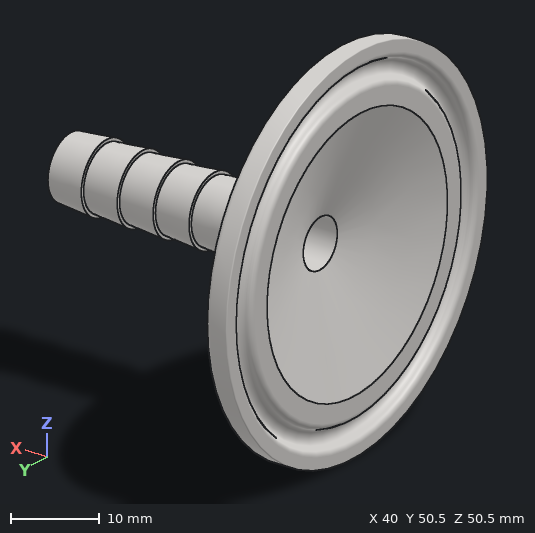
import cadquery as cq
import math

length = 40.0
flange_radius = 25.25
cone_angle = math.radians(20)

rim_straight_end = 2.25
rim_back_round = 0.8
rim_front_round = 0.15

barb_count = 5
barb_pitch = 5.0
neck_radius = 4.75
barb_low_radius = 4.3
neck_fillet = 1.95

groove_radius = 21.7
groove_lip_round = 0.8
groove_floor_round = 1.15
groove_wall_width = 0.075

bore_radius = 3.3
mouth_radius = 17.4
mouth_depth = 5.15


def arc_point(center, radius, angle):
    """Point on a circle in (X, radius) coordinates, with the angle measured from +radius toward +X."""
    return (center[0] + radius * math.sin(angle), center[1] + radius * math.cos(angle))


def revolve_about_x(profile):
    return profile.close().revolve(360, (0, 0, 0), (1, 0, 0))


def make_body():
    """Solid flange, conical back and barbed tail."""
    turn = math.pi / 2 - cone_angle
    rim_center = (rim_straight_end, flange_radius - rim_back_round)
    rim_middle = arc_point(rim_center, rim_back_round, turn / 2)
    cone_start = arc_point(rim_center, rim_back_round, turn)

    fillet_center_radius = neck_radius + neck_fillet
    cone_end_radius = fillet_center_radius - neck_fillet * math.cos(turn)
    cone_end_x = cone_start[0] + (cone_start[1] - cone_end_radius) * math.tan(cone_angle)
    fillet_center = (cone_end_x + neck_fillet * math.sin(turn), fillet_center_radius)
    fillet_middle = arc_point(fillet_center, neck_fillet, math.pi + turn / 2)

    profile = (
        cq.Workplane("XY")
        .lineTo(0, flange_radius)
        .lineTo(rim_straight_end, flange_radius)
        .threePointArc(rim_middle, cone_start)
        .lineTo(cone_end_x, cone_end_radius)
        .threePointArc(fillet_middle, (fillet_center[0], neck_radius))
    )
    barbs_start = length - barb_count * barb_pitch
    for index in range(barb_count):
        barb_x = barbs_start + index * barb_pitch
        profile = profile.lineTo(barb_x, neck_radius)
        profile = profile.lineTo(barb_x + barb_pitch, barb_low_radius)
    body = revolve_about_x(profile.lineTo(length, 0))
    return body.faces("<X").edges().fillet(rim_front_round)


def make_groove():
    """Ring that cuts the gasket groove."""
    turn = math.pi / 2 - cone_angle
    lip_width = groove_lip_round * math.sin(turn)
    lip_depth = groove_lip_round * (1 - math.cos(turn))
    floor_half_width = groove_floor_round * math.sin(turn)
    wall_depth = groove_wall_width * math.tan(turn)
    floor_edge_depth = lip_depth + wall_depth
    groove_depth = floor_edge_depth + groove_floor_round * (1 - math.cos(turn))
    lip_middle_depth = groove_lip_round * (1 - math.cos(turn / 2))
    lip_middle_width = groove_lip_round * math.sin(turn / 2)
    wall_offset = floor_half_width + groove_wall_width
    edge_offset = wall_offset + lip_width

    profile = (
        cq.Workplane("XY")
        .moveTo(0, groove_radius - edge_offset)
        .threePointArc(
            (lip_middle_depth, groove_radius - edge_offset + lip_middle_width),
            (lip_depth, groove_radius - wall_offset),
        )
        .lineTo(floor_edge_depth, groove_radius - floor_half_width)
        .threePointArc((groove_depth, groove_radius), (floor_edge_depth, groove_radius + floor_half_width))
        .lineTo(lip_depth, groove_radius + wall_offset)
        .threePointArc(
            (lip_middle_depth, groove_radius + edge_offset - lip_middle_width),
            (0, groove_radius + edge_offset),
        )
    )
    return revolve_about_x(profile)


def make_passage():
    """Conical mouth leading into a straight bore through the tail."""
    profile = (
        cq.Workplane("XY")
        .lineTo(0, mouth_radius)
        .lineTo(mouth_depth, bore_radius)
        .lineTo(length, bore_radius)
        .lineTo(length, 0)
    )
    return revolve_about_x(profile)


result = make_body().cut(make_groove()).cut(make_passage())